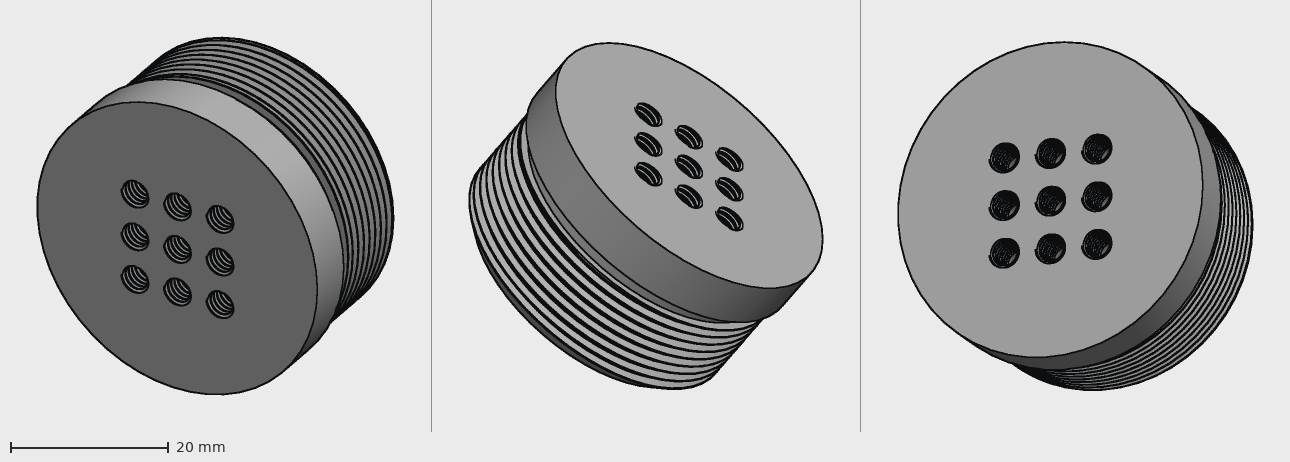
import cadquery as cq
import math


total_length = 22.5
flange_diameter = 41.2
flange_length = 6.6
relief_diameter = 37.2
relief_length = 2.4
lead_in_chamfer = 2.05

thread_diameter = 39.6
thread_pitch = 25.4 / 18
thread_depth = 0.866
thread_turns = 9
groove_start_before_thread = 0.9
collar_width_at_relief = 0.2
collar_width_at_chamfer = 0.15

holes_per_side = 3
hole_spacing = 6.25
hole_minor_diameter = 3.46
hole_major_diameter = 4.166
hole_pitch = 25.4 / 32
hole_thread_length = flange_length
hole_start_angle = 60

flank_slope = math.tan(math.radians(30))
crest_flat_ratio = 1 / 8
hole_root_flat_ratio = 1 / 4
overlap = 0.1

thread_start = flange_length + relief_length
thread_end = total_length - lead_in_chamfer
thread_radius = thread_diameter / 2
thread_root_radius = thread_radius - thread_depth


def helical_tooth(inner_radius, outer_radius, inner_half_width, outer_half_width, pitch, height):
    """Trapezoidal tooth swept along a right-hand helix that starts at +X and Z = 0."""
    path = cq.Wire.makeHelix(pitch, height, inner_radius)
    profile = cq.Workplane("XZ").polyline([
        (inner_radius, -inner_half_width),
        (outer_radius, -outer_half_width),
        (outer_radius, outer_half_width),
        (inner_radius, inner_half_width),
    ]).close()
    return profile.sweep(cq.Workplane(path), isFrenet=True)


def make_body():
    """Flange, thread relief and unthreaded barrel with its lead-in chamfer."""
    flange_radius = flange_diameter / 2
    relief_radius = relief_diameter / 2
    half_section = cq.Workplane("XZ").polyline([
        (0, 0),
        (flange_radius, 0),
        (flange_radius, flange_length),
        (relief_radius, flange_length),
        (relief_radius, thread_start),
        (thread_radius, thread_start),
        (thread_radius, thread_end),
        (thread_radius - lead_in_chamfer, total_length),
        (0, total_length),
    ]).close()
    return half_section.revolve(360, (0, 0, 0), (0, 1, 0))


def make_groove_limits():
    """Ring that keeps the thread groove clear of the sloped collars at both thread ends."""
    inner = thread_root_radius - overlap
    outer = thread_radius + 2 * overlap
    lower = thread_start + collar_width_at_relief
    upper = thread_end - collar_width_at_chamfer
    inner_run = (thread_radius - inner) * flank_slope
    outer_run = (outer - thread_radius) * flank_slope
    ring_section = cq.Workplane("XZ").polyline([
        (inner, lower + inner_run),
        (outer, lower - outer_run),
        (outer, upper + outer_run),
        (inner, upper - inner_run),
    ]).close()
    return ring_section.revolve(360, (0, 0, 0), (0, 1, 0))


def make_thread_groove():
    """V groove of the external thread, wider toward the outside."""
    crest_half_width = thread_pitch * (1 - crest_flat_ratio) / 2
    root_half_width = crest_half_width - thread_depth * flank_slope
    groove = helical_tooth(
        thread_root_radius,
        thread_radius + overlap,
        root_half_width,
        crest_half_width + overlap * flank_slope,
        thread_pitch,
        thread_turns * thread_pitch,
    )
    groove = groove.translate((0, 0, thread_start - groove_start_before_thread))
    return groove.intersect(make_groove_limits())


def make_hole_tool():
    """Cutting tool for one hole: a through core plus a helical ridge along the threaded stretch."""
    minor_radius = hole_minor_diameter / 2
    major_radius = hole_major_diameter / 2
    root_half_width = hole_pitch * hole_root_flat_ratio / 2
    opening_half_width = root_half_width + (major_radius - minor_radius) * flank_slope
    ridge = helical_tooth(
        minor_radius - overlap,
        major_radius,
        opening_half_width + overlap * flank_slope,
        root_half_width,
        hole_pitch,
        hole_thread_length + hole_pitch,
    )
    ridge = ridge.translate((0, 0, -hole_pitch)).rotate((0, 0, 0), (0, 0, 1), hole_start_angle)
    core = cq.Workplane("XY").workplane(offset=-2 * hole_pitch).circle(minor_radius)
    core = core.extrude(total_length + 4 * hole_pitch)
    return core.union(ridge, clean=False)


def cut_threaded_holes(solid):
    """Cut a square grid of threaded through holes, centred on the axis."""
    tool = make_hole_tool().val()
    grid = cq.Workplane("XY").rarray(hole_spacing, hole_spacing, holes_per_side, holes_per_side)
    holes = grid.eachpoint(lambda place: tool.moved(place), combine=False)
    return solid.cut(holes, clean=False)


plug = cut_threaded_holes(make_body())
plug = plug.cut(make_thread_groove(), clean=False)
result = plug.rotate((0, 0, 0), (1, 0, 0), -90)